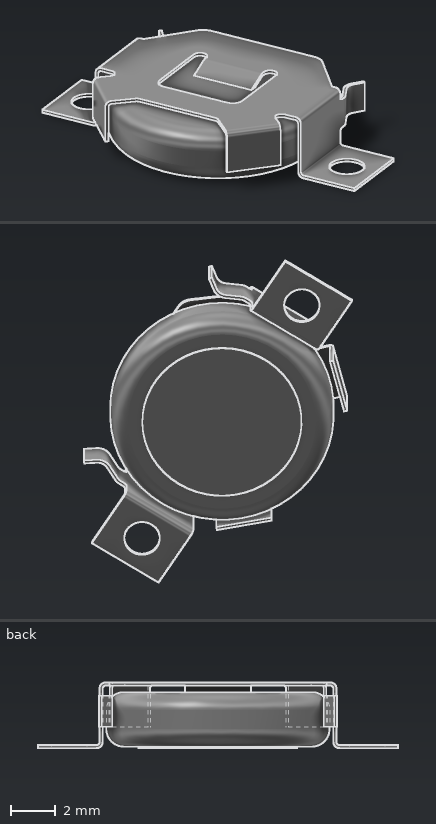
import cadquery as cq
import math

CELL_DIAMETER = 10.0
CELL_RADIUS = CELL_DIAMETER / 2
CELL_TOP = 2.51
CELL_EDGE_RADIUS = 0.8
CELL_FOOT_RADIUS = 3.56
CELL_FOOT_HEIGHT = 0.06

SHEET = 0.15
CLIP_TOP = 2.95
CLIP_LENGTH = 16.1
BEND_INNER_RADIUS = 0.13
PLATE_BACK = 4.01
PLATE_FRONT = -3.62
BACK_CORNER_X = 3.01
BACK_CORNER_RADIUS = 0.77
FRONT_CORNER_RADIUS = 0.29

LEG_WIDTH = 3.55
LEG_ROOT_X = 4.86
LEG_OUTER_X = 5.3
FOOT_HOLE_DIAMETER = 1.58
FOOT_HOLE_X = 6.65

TAB_ANGLE = 43.0
TAB_REACH = 5.45
TAB_WIDTH = 2.5
TAB_BOTTOM = 0.95
TAB_FLAT = 0.48

SPRING_TOP = 2.35
SPRING_BOTTOM = 0.95
SPRING_ROOT_RADIUS = 0.15
SPRING_KNEE_Y = 2.19
SPRING_CREST_Y = 3.22
SPRING_TIP_Y = 3.96
SPRING_IN_ANGLE = 26.0
SPRING_OUT_ANGLE = 36.0
SPRING_CREST_INNER_RADIUS = 0.48
SOFT_BEND_INNER_RADIUS = 0.4

WINDOW_WIDTH = 4.25
WINDOW_FRONT = -2.01
WINDOW_CORNER_RADIUS = 0.5
TONGUE_WIDTH = 2.96
TONGUE_ROOT_Y = 1.53
TONGUE_KNEE_Y = 1.37
TONGUE_ANGLE = 25.0

HALF_SHEET = SHEET / 2
PLATE_MID_Z = CLIP_TOP - HALF_SHEET
BEND_RADIUS = BEND_INNER_RADIUS + HALF_SHEET
SOFT_BEND_RADIUS = SOFT_BEND_INNER_RADIUS + HALF_SHEET
SPRING_CREST_RADIUS = SPRING_CREST_INNER_RADIUS + HALF_SHEET
LEG_MID_X = LEG_OUTER_X - HALF_SHEET
HALF_LEG = LEG_WIDTH / 2

TAB_OUT = cq.Vector(math.cos(math.radians(TAB_ANGLE)), -math.sin(math.radians(TAB_ANGLE)), 0)
TAB_ALONG = cq.Vector(-TAB_OUT.y, TAB_OUT.x, 0)
TAB_ROOT = TAB_REACH - TAB_FLAT


def bent_strip(points, radii, across, width):
    """Sheet strip whose mid-surface follows points, with one bend radius per inner point."""
    edges = []
    start = points[0]
    for before, corner, after, radius in zip(points, points[1:], points[2:], radii):
        back = (before - corner).normalized()
        ahead = (after - corner).normalized()
        turn = math.pi - back.getAngle(ahead)
        tangent_length = radius * math.tan(turn / 2)
        bend_start = corner + back * tangent_length
        bend_end = corner + ahead * tangent_length
        edges.append(cq.Edge.makeLine(start, bend_start))
        edges.append(cq.Edge.makeTangentArc(bend_start, back * -1, bend_end))
        start = bend_end
    edges.append(cq.Edge.makeLine(start, points[-1]))
    section = cq.Plane(origin=points[0], xDir=across, normal=points[1] - points[0])
    return cq.Workplane(section).rect(width, SHEET).sweep(cq.Wire.assembleEdges(edges))


def tab_point(out, along, z=0.0):
    """Point at a distance from the Z axis toward the tab and an offset along the tab."""
    return TAB_OUT * out + TAB_ALONG * along + cq.Vector(0, 0, z)


def tab_side_at(y, along):
    """X where a side edge of the tab, carried inward, reaches the given Y."""
    side = tab_point(TAB_ROOT, along)
    return side.x + (y - side.y) * TAB_OUT.x / TAB_OUT.y


def make_half_plate():
    tab_back = tab_point(TAB_ROOT, TAB_WIDTH / 2)
    tab_front = tab_point(TAB_ROOT, -TAB_WIDTH / 2)
    notch_x = tab_side_at(-HALF_LEG, TAB_WIDTH / 2)
    front_corner_x = tab_side_at(PLATE_FRONT, -TAB_WIDTH / 2)
    outline = [
        (0, PLATE_BACK),
        (BACK_CORNER_X, PLATE_BACK),
        (LEG_ROOT_X, HALF_LEG),
        (LEG_ROOT_X, -HALF_LEG),
        (notch_x, -HALF_LEG),
        (tab_back.x, tab_back.y),
        (tab_front.x, tab_front.y),
        (front_corner_x, PLATE_FRONT),
        (0, PLATE_FRONT),
    ]
    plate = cq.Workplane("XY", origin=(0, 0, CLIP_TOP - SHEET)).polyline(outline).close().extrude(SHEET)

    def corner(x, y):
        return cq.selectors.NearestToPointSelector((x, y, PLATE_MID_Z))

    plate = plate.edges("|Z").edges(corner(BACK_CORNER_X, PLATE_BACK)).fillet(BACK_CORNER_RADIUS)
    plate = plate.edges("|Z").edges(corner(notch_x, -HALF_LEG)).fillet(FRONT_CORNER_RADIUS)
    return plate.edges("|Z").edges(corner(front_corner_x, PLATE_FRONT)).fillet(FRONT_CORNER_RADIUS)


def make_leg():
    path = [
        cq.Vector(LEG_ROOT_X, 0, PLATE_MID_Z),
        cq.Vector(LEG_MID_X, 0, PLATE_MID_Z),
        cq.Vector(LEG_MID_X, 0, HALF_SHEET),
        cq.Vector(CLIP_LENGTH / 2, 0, HALF_SHEET),
    ]
    leg = bent_strip(path, [BEND_RADIUS, BEND_RADIUS], cq.Vector(0, 1, 0), LEG_WIDTH)
    hole = cq.Workplane("XY").center(FOOT_HOLE_X, 0).circle(FOOT_HOLE_DIAMETER / 2).extrude(SHEET)
    return leg.cut(hole)


def make_tab():
    path = [
        tab_point(TAB_ROOT, 0, PLATE_MID_Z),
        tab_point(TAB_REACH - HALF_SHEET, 0, PLATE_MID_Z),
        tab_point(TAB_REACH - HALF_SHEET, 0, TAB_BOTTOM),
    ]
    return bent_strip(path, [BEND_RADIUS], TAB_ALONG, TAB_WIDTH)


def make_spring():
    mid_z = (SPRING_TOP + SPRING_BOTTOM) / 2
    crest_x = LEG_MID_X - (SPRING_CREST_Y - SPRING_KNEE_Y) * math.tan(math.radians(SPRING_IN_ANGLE))
    tip_x = crest_x + (SPRING_TIP_Y - SPRING_CREST_Y) * math.tan(math.radians(SPRING_OUT_ANGLE))
    path = [
        cq.Vector(LEG_MID_X, HALF_LEG, mid_z),
        cq.Vector(LEG_MID_X, SPRING_KNEE_Y, mid_z),
        cq.Vector(crest_x, SPRING_CREST_Y, mid_z),
        cq.Vector(tip_x, SPRING_TIP_Y, mid_z),
    ]
    radii = [SOFT_BEND_RADIUS, SPRING_CREST_RADIUS]
    return bent_strip(path, radii, cq.Vector(0, 0, 1), SPRING_TOP - SPRING_BOTTOM)


def make_leg_with_spring():
    leg = make_leg().union(make_spring())
    for z in (SPRING_BOTTOM, SPRING_TOP):
        root = cq.selectors.NearestToPointSelector((LEG_MID_X, HALF_LEG, z))
        leg = leg.edges("|X").edges(root).fillet(SPRING_ROOT_RADIUS)
    return leg


def make_window():
    slot_width = (WINDOW_WIDTH - TONGUE_WIDTH) / 2
    floor = CLIP_TOP - SHEET
    length = TONGUE_ROOT_Y - WINDOW_FRONT
    window = (
        cq.Workplane("XY", origin=(0, WINDOW_FRONT + length / 2, floor))
        .rect(WINDOW_WIDTH, length)
        .extrude(SHEET)
        .edges("|Z and <Y")
        .fillet(WINDOW_CORNER_RADIUS)
    )
    slot_ends = (
        cq.Workplane("XY", origin=(0, TONGUE_ROOT_Y, floor))
        .pushPoints([(side * (TONGUE_WIDTH + slot_width) / 2, 0) for side in (-1, 1)])
        .circle(slot_width / 2)
        .extrude(SHEET)
    )
    return window.union(slot_ends)


def make_tongue():
    slope = math.tan(math.radians(TONGUE_ANGLE))
    end_y = TONGUE_KNEE_Y - (CLIP_TOP - CELL_TOP) / slope
    end_z = PLATE_MID_Z - (TONGUE_KNEE_Y - end_y) * slope
    path = [
        cq.Vector(0, TONGUE_ROOT_Y, PLATE_MID_Z),
        cq.Vector(0, TONGUE_KNEE_Y, PLATE_MID_Z),
        cq.Vector(0, end_y, end_z),
    ]
    tongue = bent_strip(path, [SOFT_BEND_RADIUS], cq.Vector(1, 0, 0), TONGUE_WIDTH)
    below_cell_top = cq.Workplane("XY").circle(CELL_RADIUS).extrude(CELL_TOP)
    return tongue.cut(below_cell_top)


def make_clip():
    half = make_half_plate().union(make_leg_with_spring()).union(make_tab())
    clip = half.union(half.mirror("YZ"))
    return clip.cut(make_window()).union(make_tongue()).clean()


def make_cell():
    can = (
        cq.Workplane("XY", origin=(0, 0, CELL_FOOT_HEIGHT))
        .circle(CELL_RADIUS)
        .extrude(CELL_TOP - CELL_FOOT_HEIGHT)
        .edges()
        .fillet(CELL_EDGE_RADIUS)
    )
    foot = cq.Workplane("XY").circle(CELL_FOOT_RADIUS).extrude(CELL_FOOT_HEIGHT)
    return can.union(foot)


cell = make_cell()
clip = make_clip()
result = cq.Compound.makeCompound([cell.solids().val(), clip.solids().val()])